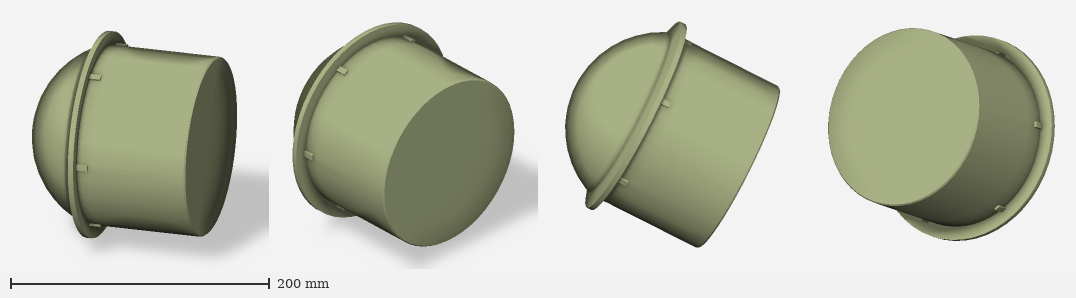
import cadquery as cq
import math

overall_length = 141.5
body_length = 87.3
dome_tip = body_length - overall_length
rim_thickness = 4.2
cone_length = 4.2
collar_length = 3.2
rim_front = -rim_thickness
cone_front = rim_front - cone_length
collar_front = cone_front - collar_length

flange_radius = 161 / 2
body_radius = 140 / 2
cone_radius = 68.6
dome_base_radius = 67.6

bevel_length = 1.3
bevel_depth = 1.0

tab_count = 6
tab_length = 8.9
tab_width = 4.5
tab_outer_radius = 72.0
tab_embed = 3.2


def make_revolved_body():
    """Dome, collar, conical flange and cylindrical body, turned about X."""
    dome_height = collar_front - dome_tip
    dome_radius = (dome_base_radius**2 + dome_height**2) / (2 * dome_height)
    half_arc_angle = math.asin(dome_base_radius / dome_radius) / 2
    dome_middle = (
        dome_tip + dome_radius * (1 - math.cos(half_arc_angle)),
        dome_radius * math.sin(half_arc_angle),
    )
    return (
        cq.Workplane("XY")
        .moveTo(dome_tip, 0)
        .threePointArc(dome_middle, (collar_front, dome_base_radius))
        .lineTo(cone_front, cone_radius)
        .lineTo(rim_front, flange_radius)
        .lineTo(0, flange_radius)
        .lineTo(0, body_radius)
        .lineTo(body_length - bevel_length, body_radius)
        .lineTo(body_length, body_radius - bevel_depth)
        .lineTo(body_length, 0)
        .close()
        .revolve(360, (0, 0, 0), (1, 0, 0))
    )


def make_tab(angle):
    """Block rooted in the body wall, turned by the angle about X from +Y."""
    tab_root = body_radius - tab_embed
    return (
        cq.Workplane("XY")
        .box(tab_length, tab_outer_radius - tab_root, tab_width, centered=(False, False, True))
        .translate((0, tab_root, 0))
        .rotate((0, 0, 0), (1, 0, 0), angle)
    )


result = make_revolved_body()
for tab_index in range(tab_count):
    result = result.union(make_tab(tab_index * 360 / tab_count))